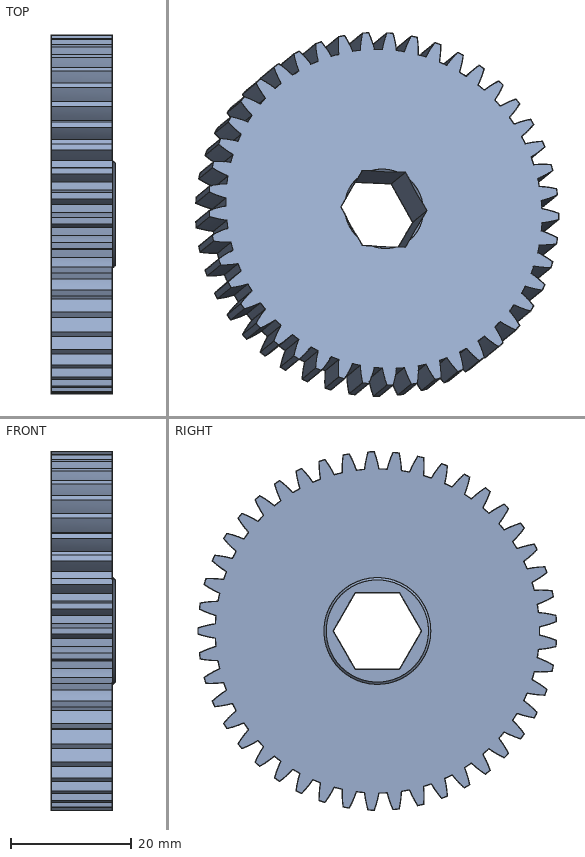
import cadquery as cq
import math

INCH = 25.4

TOOTH_COUNT = 45
MODULE = INCH / 20
ADDENDUM = MODULE
DEDENDUM = 1.25 * MODULE
FACE_WIDTH = 0.40 * INCH

PITCH_RADIUS = TOOTH_COUNT * MODULE / 2
TIP_RADIUS = PITCH_RADIUS + ADDENDUM
ROOT_RADIUS = PITCH_RADIUS - DEDENDUM
TOOTH_PITCH_ANGLE = 2 * math.pi / TOOTH_COUNT

ROOT_THICKNESS = 2.43
PITCH_THICKNESS = 1.80
TIP_THICKNESS = 1.05
ROOT_HALF_ANGLE = ROOT_THICKNESS / (2 * ROOT_RADIUS)
PITCH_HALF_ANGLE = PITCH_THICKNESS / (2 * PITCH_RADIUS)
TIP_HALF_ANGLE = TIP_THICKNESS / (2 * TIP_RADIUS)

FIRST_TOOTH_ANGLE = math.pi

HUB_DIAMETER = 0.70 * INCH
HUB_HEIGHT = 0.02 * INCH
HUB_CHAMFER = 0.015 * INCH

HEX_SIDES = 6
HEX_ACROSS_FLATS = 0.50 * INCH
HEX_ACROSS_CORNERS = HEX_ACROSS_FLATS / math.cos(math.pi / HEX_SIDES)
LEAD_IN_DIAMETER = 0.53 * INCH
LEAD_IN_DEPTH = (LEAD_IN_DIAMETER - HEX_ACROSS_FLATS) / 2

TOTAL_WIDTH = FACE_WIDTH + HUB_HEIGHT


def polar(radius, angle):
    """Point in the YZ plane at a radius and an angle from the +Y axis."""
    return (radius * math.cos(angle), radius * math.sin(angle))


def gear_profile():
    """Closed outline of all teeth, with arc flanks between the root and tip circles."""
    profile = cq.Workplane("YZ").moveTo(*polar(ROOT_RADIUS, FIRST_TOOTH_ANGLE - ROOT_HALF_ANGLE))
    for tooth in range(TOOTH_COUNT):
        centre = FIRST_TOOTH_ANGLE + tooth * TOOTH_PITCH_ANGLE
        next_centre = centre + TOOTH_PITCH_ANGLE
        profile = profile.threePointArc(
            polar(PITCH_RADIUS, centre - PITCH_HALF_ANGLE),
            polar(TIP_RADIUS, centre - TIP_HALF_ANGLE),
        )
        profile = profile.threePointArc(
            polar(TIP_RADIUS, centre),
            polar(TIP_RADIUS, centre + TIP_HALF_ANGLE),
        )
        profile = profile.threePointArc(
            polar(PITCH_RADIUS, centre + PITCH_HALF_ANGLE),
            polar(ROOT_RADIUS, centre + ROOT_HALF_ANGLE),
        )
        profile = profile.threePointArc(
            polar(ROOT_RADIUS, centre + TOOTH_PITCH_ANGLE / 2),
            polar(ROOT_RADIUS, next_centre - ROOT_HALF_ANGLE),
        )
    return profile.close()


def hub():
    """Round boss that runs through the gear and ends in a chamfered rim."""
    boss = cq.Workplane("YZ").circle(HUB_DIAMETER / 2).extrude(TOTAL_WIDTH)
    return boss.faces(">X").edges().chamfer(HUB_CHAMFER)


def hex_bore():
    """Through bore with two flats facing up and down."""
    return cq.Workplane("YZ").polygon(HEX_SIDES, HEX_ACROSS_CORNERS).extrude(TOTAL_WIDTH)


def lead_in():
    """Cone that opens the bore at the -X face and shrinks to the hexagon's inscribed circle."""
    return (
        cq.Workplane("YZ")
        .circle(LEAD_IN_DIAMETER / 2)
        .workplane(offset=LEAD_IN_DEPTH)
        .circle(HEX_ACROSS_FLATS / 2)
        .loft()
    )


gear = gear_profile().extrude(FACE_WIDTH)
result = gear.union(hub()).cut(hex_bore()).cut(lead_in())